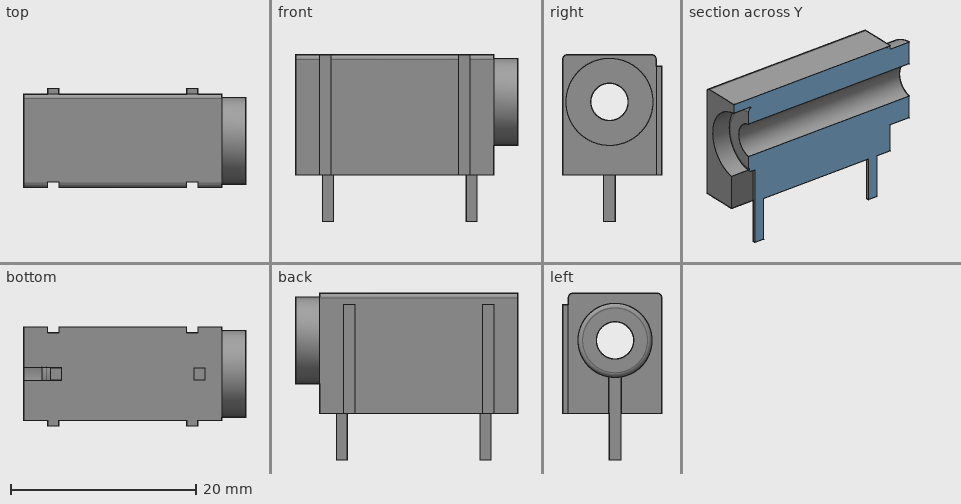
import cadquery as cq

body_length = 21.4
body_width = 10.1
body_height = 13.0
top_edge_radius = 0.5

axis_z = 7.9
collar_diameter = 9.4
collar_length = 2.6
socket_diameter = 8.0
sleeve_depth = 2.0
sleeve_edge_radius = 0.5
through_diameter = 4.0
overall_length = body_length + collar_length

slot_width = 1.4

pin_length = 1.2
pin_width = 1.3
pin_drop = 5.01
pin_starts = (2.9, 18.4)
slot_length = pin_starts[0] + pin_length

key_length = 1.2
key_depth = 0.6
key_starts = (2.6, 17.6)
rib_height = 11.75


def box(x_start, y_start, z_start, length, width, height):
    """Box given by its lowest corner and its sizes along X, Y and Z."""
    block = cq.Workplane("XY").box(length, width, height, centered=False)
    return block.translate((x_start, y_start, z_start))


def barrel(x_start, length, diameter):
    """Cylinder along +X on the barrel axis."""
    return cq.Workplane("YZ", origin=(x_start, 0, axis_z)).circle(diameter / 2).extrude(length)


def make_housing():
    """Block with rounded long top edges and the round collar on its +X end."""
    block = box(0, -body_width / 2, 0, body_length, body_width, body_height)
    block = block.edges("|X and >Z").fillet(top_edge_radius)
    return block.union(barrel(body_length, collar_length, collar_diameter))


def add_keys(housing):
    """Cut the -Y grooves over the full height and add the shorter +Y ribs."""
    for x_start in key_starts:
        groove = box(x_start, -body_width / 2, 0, key_length, key_depth, body_height)
        rib = box(x_start, body_width / 2, 0, key_length, key_depth, rib_height)
        housing = housing.cut(groove).union(rib)
    return housing


def add_socket(housing):
    """Cut the socket and slot, leaving a sleeve with a rounded rim inside the socket."""
    sleeve_length = slot_length - sleeve_depth
    sleeve = barrel(sleeve_depth, sleeve_length, socket_diameter)
    sleeve = sleeve.faces("<X").edges().fillet(sleeve_edge_radius)
    socket = barrel(0, sleeve_depth + sleeve_edge_radius, socket_diameter)
    slot = box(0, -slot_width / 2, 0, slot_length, slot_width, axis_z)
    return housing.cut(socket).cut(slot).union(sleeve)


def add_pins(housing):
    """Add the pins, which rise from below the underside into the barrel region."""
    pin_top = axis_z - socket_diameter / 2 + sleeve_edge_radius
    for x_start in pin_starts:
        pin = box(x_start, -pin_width / 2, -pin_drop, pin_length, pin_width, pin_drop + pin_top)
        housing = housing.union(pin)
    return housing


result = add_pins(add_socket(add_keys(make_housing())))
result = result.cut(barrel(0, overall_length, through_diameter))